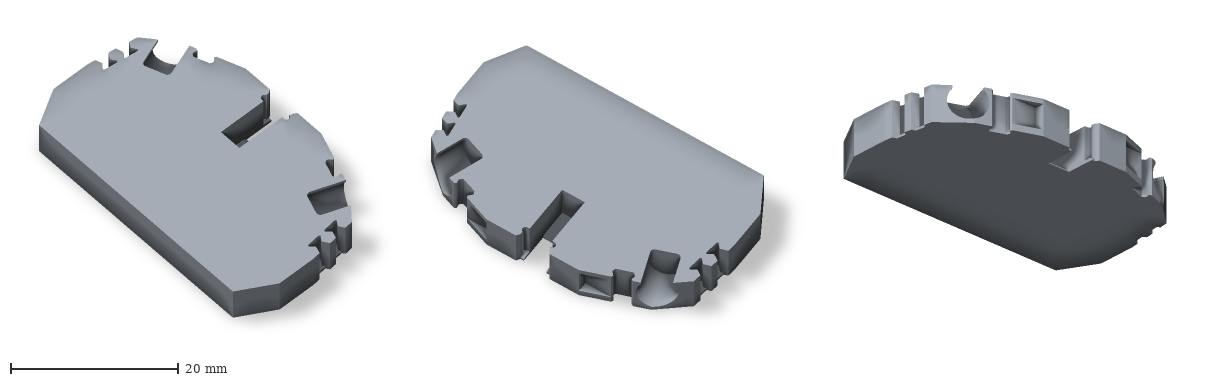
import cadquery as cq
import math

LENGTH = 40.0
DEPTH = 24.0
THICKNESS = 5.1
HALF_LENGTH = LENGTH / 2

BASE_CHAMFER_X = 2.86
BASE_CHAMFER_ANGLE = 60.0
SIDE_BREAK_Y = 10.47
SIDE_LEAN = 7.0
SHOULDER_X = 6.67
SLOPE_ANGLE = 20.0
SLOPE_LENGTH = 8.9
CORNER_ANGLE = 40.0
UPPER_TOOTH_SETBACK = 0.13

SKIN = 0.42
SKIN_EDGE_ANGLE = 15.0

SLOT_HALF_WIDTH = 1.63
SLOT_END_Y = 15.3
SLOT_FLOOR_Y = 18.92
SLOT_THROUGH_Y = 19.4
SLOT_EDGE_ANGLE = 30.0
MOUTH_TOP_HALF_WIDTH = 2.44
MOUTH_HALF_WIDTH = 2.1
MOUTH_Y = 23.5
LATCH_RADIUS = 0.42
LATCH_CENTRE_X = 1.96
LATCH_CENTRE_Y = 22.65

NOTCH_CENTRE = 5.33
NOTCH_DEPTH = 1.26
NOTCH_EDGE_HALF = 1.34
NOTCH_THROAT_HALF = 1.12
NOTCH_BELLY_HALF = 1.38
NOTCH_FLOOR_HALF = 1.12
NOTCH_THROAT_DEPTH = 0.23
NOTCH_BELLY_DEPTH = 0.72
NOTCH_FLOOR_BEVEL = 0.3

RECESS_Z_MIN = 0.9
RECESS_Z_MAX = 4.4

BORE_CENTRE = 9.5
BORE_RADIUS = 2.5
BORE_AXIS_Z = 3.05
BORE_DEPTH = 5.2
BORE_LIP_CORNER = 0.55
BORE_LIP_Z = 4.7

GROOVE_NECKS = [(-18.42, 15.45), (-18.81, 12.45)]
NECK_HALF = 0.52
GROOVE_MOUTH_FLARE = 0.48
GROOVE_MOUTH_REACH = 2.0
GROOVE_BACK_HALF = 1.1
GROOVE_FLANK_DEPTH = 0.69
GROOVE_DEPTH = 0.88
GROOVE_BACK_CORNER = 0.15
GROOVE_SKIN_REACH = 0.4


def tan_deg(angle):
    return math.tan(math.radians(angle))


def frame(origin, along, outward):
    """Return a function that turns (along, outward) distances into an XY point."""
    def place(a, b):
        return (origin[0] + a * along[0] + b * outward[0], origin[1] + a * along[1] + b * outward[1])
    return place


def prism(points, z_min, z_max):
    return cq.Workplane("XY").workplane(offset=z_min).polyline(points).close().extrude(z_max - z_min)


def box(x_min, x_max, y_min, y_max, z_min, z_max):
    return prism([(x_min, y_min), (x_max, y_min), (x_max, y_max), (x_min, y_max)], z_min, z_max)


slope_cos = math.cos(math.radians(SLOPE_ANGLE))
slope_sin = math.sin(math.radians(SLOPE_ANGLE))
SHOULDER = (-SHOULDER_X, DEPTH)
SLOPE_DOWN = (-slope_cos, -slope_sin)
SLOPE_NORMAL = (-slope_sin, slope_cos)
on_slope = frame(SHOULDER, SLOPE_DOWN, SLOPE_NORMAL)

lean_cos = math.cos(math.radians(SIDE_LEAN))
lean_sin = math.sin(math.radians(SIDE_LEAN))
SIDE_UP = (lean_sin, lean_cos)
SIDE_OUT = (-lean_cos, lean_sin)


def half_body():
    """Left half of the block, without any cut."""
    slope_end = on_slope(SLOPE_LENGTH, 0)
    lean_slope = tan_deg(SIDE_LEAN)
    corner_slope = tan_deg(CORNER_ANGLE)
    step_y = GROOVE_NECKS[0][1]
    step_x = -HALF_LENGTH + lean_slope * (step_y - SIDE_BREAK_Y)
    tooth_x = step_x + UPPER_TOOTH_SETBACK
    rise = slope_end[1] - step_y - corner_slope * (slope_end[0] - tooth_x)
    corner_y = step_y + rise / (1 - corner_slope * lean_slope)
    corner_x = tooth_x + lean_slope * (corner_y - step_y)
    outline = [
        (0, 0),
        (-HALF_LENGTH + BASE_CHAMFER_X, 0),
        (-HALF_LENGTH, BASE_CHAMFER_X * tan_deg(BASE_CHAMFER_ANGLE)),
        (-HALF_LENGTH, SIDE_BREAK_Y),
        (step_x, step_y),
        (tooth_x, step_y),
        (corner_x, corner_y),
        slope_end,
        SHOULDER,
        (0, DEPTH),
    ]
    return prism(outline, 0, THICKNESS)


def slot_cut():
    """Left half of the central slot with its flared mouth and latch groove."""
    drop = (SLOT_THROUGH_Y - SLOT_FLOOR_Y) * tan_deg(SLOT_EDGE_ANGLE)
    floor_profile = [
        (SLOT_END_Y, THICKNESS),
        (SLOT_END_Y, SKIN),
        (SLOT_FLOOR_Y, SKIN),
        (SLOT_THROUGH_Y, SKIN - drop),
        (SLOT_THROUGH_Y, 0),
        (DEPTH, 0),
        (DEPTH, THICKNESS),
    ]
    slot = cq.Workplane("YZ").polyline(floor_profile).close().extrude(-SLOT_HALF_WIDTH)

    flare = prism(
        [(0, DEPTH), (-MOUTH_TOP_HALF_WIDTH, DEPTH), (-MOUTH_HALF_WIDTH, MOUTH_Y), (0, MOUTH_Y)],
        0,
        THICKNESS,
    )

    latch_top_y = LATCH_CENTRE_Y + LATCH_RADIUS
    fall = (MOUTH_Y - latch_top_y) * tan_deg(SKIN_EDGE_ANGLE)
    mouth_profile = [
        (latch_top_y, THICKNESS),
        (latch_top_y, SKIN),
        (MOUTH_Y, SKIN - fall),
        (MOUTH_Y, THICKNESS),
    ]
    mouth = cq.Workplane("YZ").polyline(mouth_profile).close().extrude(-MOUTH_HALF_WIDTH)

    latch_bottom_y = LATCH_CENTRE_Y - LATCH_RADIUS
    latch = (
        cq.Workplane("XY", origin=(0, 0, SKIN))
        .moveTo(0, latch_top_y)
        .lineTo(-LATCH_CENTRE_X, latch_top_y)
        .threePointArc((-LATCH_CENTRE_X - LATCH_RADIUS, LATCH_CENTRE_Y), (-LATCH_CENTRE_X, latch_bottom_y))
        .lineTo(0, latch_bottom_y)
        .close()
        .extrude(THICKNESS - SKIN)
    )
    return slot.union(flare).union(mouth).union(latch)


def notch_cut():
    """Through notch with a narrow throat, symmetric about its centre on the slope."""
    right_side = [
        (NOTCH_EDGE_HALF, 0),
        (NOTCH_THROAT_HALF, -NOTCH_THROAT_DEPTH),
        (NOTCH_BELLY_HALF, -NOTCH_BELLY_DEPTH),
        (NOTCH_BELLY_HALF, -NOTCH_DEPTH + NOTCH_FLOOR_BEVEL),
        (NOTCH_FLOOR_HALF, -NOTCH_DEPTH),
    ]
    left_side = [(-half, height) for half, height in reversed(right_side)]
    points = [on_slope(NOTCH_CENTRE + a, b) for a, b in right_side + left_side]
    return prism(points, 0, THICKNESS)


def recess_cut():
    """Wedge with a floor along X, running from the notch rim to the shoulder."""
    rim = on_slope(NOTCH_CENTRE - NOTCH_EDGE_HALF, 0)
    return prism([rim, (-SHOULDER_X, rim[1]), SHOULDER], RECESS_Z_MIN, RECESS_Z_MAX)


def bore_cut():
    """Blind flat-ended round bore, opened straight up through the top face."""
    overshoot = BORE_RADIUS
    start = on_slope(BORE_CENTRE, overshoot)
    plane = cq.Plane(
        origin=(start[0], start[1], BORE_AXIS_Z),
        xDir=(SLOPE_DOWN[0], SLOPE_DOWN[1], 0),
        normal=(-SLOPE_NORMAL[0], -SLOPE_NORMAL[1], 0),
    )
    bore = cq.Workplane(plane).circle(BORE_RADIUS).extrude(BORE_DEPTH + overshoot)

    lip_half = math.sqrt(BORE_RADIUS**2 - (BORE_LIP_Z - BORE_AXIS_Z) ** 2)
    outer_end = [on_slope(BORE_CENTRE + side * lip_half, overshoot) for side in (1, -1)]
    inner_end = [on_slope(BORE_CENTRE + side * lip_half, -BORE_DEPTH) for side in (-1, 1)]
    opening = prism(outer_end + inner_end, BORE_LIP_Z, THICKNESS)
    for x, y in inner_end:
        corner = cq.selectors.NearestToPointSelector((x, y, (BORE_LIP_Z + THICKNESS) / 2))
        opening = opening.edges(corner).fillet(BORE_LIP_CORNER)
    below_lip = box(-LENGTH, 0, 0, 2 * DEPTH, 0, BORE_LIP_Z)
    return bore.intersect(below_lip).union(opening)


def groove_cut(neck):
    """Waisted groove over the skin; outside the skin its mouth is open right through."""
    place = frame(neck, SIDE_UP, SIDE_OUT)
    mouth_half = NECK_HALF + GROOVE_MOUTH_FLARE * GROOVE_MOUTH_REACH
    skin_half = NECK_HALF + GROOVE_MOUTH_FLARE * GROOVE_SKIN_REACH
    pocket_side = [
        (NECK_HALF, 0),
        (GROOVE_BACK_HALF, -GROOVE_FLANK_DEPTH),
        (GROOVE_BACK_HALF, -GROOVE_DEPTH + GROOVE_BACK_CORNER),
        (GROOVE_BACK_HALF - GROOVE_BACK_CORNER, -GROOVE_DEPTH),
    ]
    other_side = [(-a, b) for a, b in reversed(pocket_side)]
    pocket = prism([place(a, b) for a, b in pocket_side + other_side], SKIN, THICKNESS)

    mouth = [
        (NECK_HALF, 0),
        (mouth_half, GROOVE_MOUTH_REACH),
        (-mouth_half, GROOVE_MOUTH_REACH),
        (-NECK_HALF, 0),
    ]
    mouth_prism = prism([place(a, b) for a, b in mouth], 0, THICKNESS)

    fall = GROOVE_SKIN_REACH * tan_deg(SKIN_EDGE_ANGLE)
    plane = cq.Plane(
        origin=(*place(-skin_half, 0), 0),
        xDir=(SIDE_OUT[0], SIDE_OUT[1], 0),
        normal=(SIDE_UP[0], SIDE_UP[1], 0),
    )
    skin_profile = [(0, 0), (0, SKIN), (GROOVE_SKIN_REACH, SKIN - fall), (GROOVE_SKIN_REACH, 0)]
    skin = cq.Workplane(plane).polyline(skin_profile).close().extrude(2 * skin_half)
    return pocket.union(mouth_prism.cut(skin))


half = half_body().cut(slot_cut()).cut(notch_cut()).cut(recess_cut()).cut(bore_cut())
for neck in GROOVE_NECKS:
    half = half.cut(groove_cut(neck))

result = half.union(half.mirror("YZ")).clean()